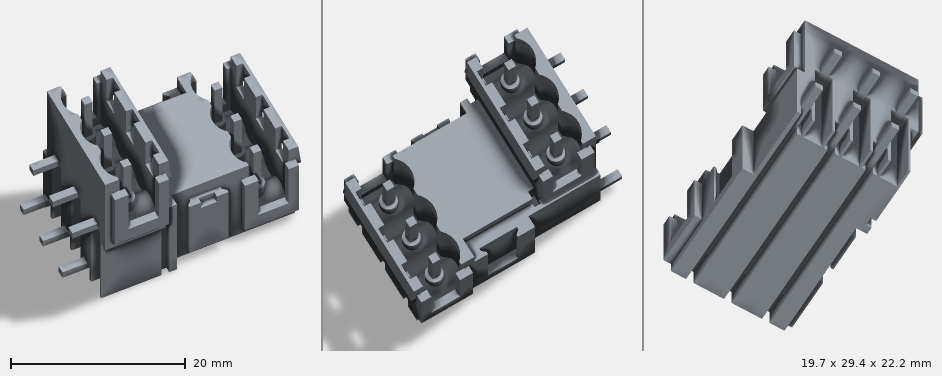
import cadquery as cq
import math

PITCH = 5.08
PIN_OFFSETS = [-PITCH, 0, PITCH]
LOW_HEADER = (0, 17.78, 0)
HIGH_HEADER = (PITCH / 2, 0, 2 * PITCH)

HEADER_WIDTH = 15.2
HEADER_DEPTH = 7.67
HEADER_HEIGHT = 12.0
FRONT_WALL = 1.75
CAVITY_BACK = 6.85
SCALLOP_FRONT = 0.84
SCALLOP_RADIUS = 2.83

LIP_BOTTOM = 8.88
LIP_TIP = 8.43
LIP_TOP = 8.07

WINDOW_WIDTH = 2.0
WINDOW_SILL = 8.02

EAR_THICKNESS = 1.0
EAR_FRONT = 0.77
EAR_BOTTOM = 1.65
EAR_TOP = 9.9
CHANNEL_FRONT = 2.52
CHANNEL_BACK = 6.35
FLOOR = 3.58

CREST_RADIUS = 1.55
VALLEY_RADIUS = 1.35
FLANK_ANGLE = math.radians(55)

COLLAR_DIAMETER = 2.15
COLLAR_TOP = 4.94

PIN_SIZE = 1.0
PIN_Y = 3.84
PIN_TOP = 11.05
TAIL_Z = 2.03
TAIL_END = -3.2

BASE_TOP = 10.04
FRONT_LEFT = -6.1
FRONT_RIGHT = FRONT_LEFT + HEADER_WIDTH
FRONT_BACK = 9.65
BACK_LEFT = -HEADER_WIDTH / 2
BACK_RIGHT = HEADER_WIDTH / 2
DECK_LEFT = HIGH_HEADER[0] - HEADER_WIDTH / 2
HIGH_RIGHT = HIGH_HEADER[0] + HEADER_WIDTH / 2

RELIEF_LEFT = -5.54
RELIEF_RIGHT = DECK_LEFT + 1.0
RELIEF_BACK = 8.48
RELIEF_BOTTOM = 9.1
NOTCH_LEFT = 8.36
NOTCH_BACK = 8.68

DOVETAIL_Y = 13.95
DOVETAIL_BOTTOM = EAR_BOTTOM
DOVETAIL_NECK = 2.0
DOVETAIL_HEAD = 2.5
DOVETAIL_NECK_LENGTH = 0.3
DOVETAIL_HEAD_START = 0.75
DOVETAIL_LENGTH = 1.08
TAB_POCKET_WIDTH = 2.0
TAB_POCKET_START = 0.38
TAB_POCKET_DEPTH = 1.0

TALL_RECESS_WIDTH = 2.36
TALL_RECESS_DEPTH = 2.5
TALL_RECESS_TOP = 11.95
TAIL_RECESS_WIDTH = 2.0
TAIL_RECESS_DEPTH = 2.5


def block(x_range, y_range, z_range):
    """Box between the given limits."""
    (x0, x1), (y0, y1), (z0, z1) = x_range, y_range, z_range
    return cq.Workplane("XY").box(x1 - x0, y1 - y0, z1 - z0, centered=False).translate((x0, y0, z0))


def around(middle, width):
    """Limits of a width centred on a middle value."""
    return (middle - width / 2, middle + width / 2)


def header_shell():
    """Header block with its lip along the top of the rear face."""
    side = (
        cq.Workplane("YZ")
        .polyline([
            (0, 0),
            (0, HEADER_HEIGHT),
            (LIP_TOP, HEADER_HEIGHT),
            (LIP_TIP, LIP_BOTTOM),
            (HEADER_DEPTH, LIP_BOTTOM),
            (HEADER_DEPTH, 0),
        ])
        .close()
    )
    return side.extrude(HEADER_WIDTH / 2, both=True)


def space_above_wavy_floor():
    """Volume over the wavy floor, as deep as the header."""
    sine = math.sin(FLANK_ANGLE)
    cosine = math.cos(FLANK_ANGLE)
    crest_half = CREST_RADIUS * sine
    valley_half = VALLEY_RADIUS * sine
    crest_edge = FLOOR - CREST_RADIUS * (1 - cosine)
    flank_width = PITCH / 2 - crest_half - valley_half
    valley_edge = crest_edge - flank_width * math.tan(FLANK_ANGLE)
    valley_bottom = valley_edge - VALLEY_RADIUS * (1 - cosine)
    valley_reach = PITCH / 2 - valley_half

    start = PIN_OFFSETS[0] - valley_reach
    profile = cq.Workplane("XZ").moveTo(start, valley_edge)
    for x in PIN_OFFSETS:
        profile = profile.lineTo(x - crest_half, crest_edge)
        profile = profile.threePointArc((x, FLOOR), (x + crest_half, crest_edge))
        profile = profile.lineTo(x + valley_reach, valley_edge)
        profile = profile.threePointArc(
            (x + PITCH / 2, valley_bottom), (x + PITCH - valley_reach, valley_edge)
        )
    end = PIN_OFFSETS[-1] + PITCH - valley_reach
    profile = profile.lineTo(end, HEADER_HEIGHT)
    profile = profile.lineTo(start - 2 * valley_half, HEADER_HEIGHT)
    profile = profile.lineTo(start - 2 * valley_half, valley_edge)
    profile = profile.threePointArc((start - valley_half, valley_bottom), (start, valley_edge))
    return profile.close().extrude(-HEADER_DEPTH)


def header_cavity():
    """Plug cavity with a scalloped front wall and a wavy floor."""
    width = around(0, HEADER_WIDTH)
    plan = block(width, (FRONT_WALL, CAVITY_BACK), (0, HEADER_HEIGHT))
    for x in PIN_OFFSETS:
        scallop = (
            cq.Workplane("XY")
            .center(x, SCALLOP_FRONT + SCALLOP_RADIUS)
            .circle(SCALLOP_RADIUS)
            .extrude(HEADER_HEIGHT)
        )
        plan = plan.union(scallop)
    return plan.intersect(space_above_wavy_floor())


def header_ear(side):
    """U-shaped ear on one end of the header; side is -1 (left) or +1 (right)."""
    middle = side * (HEADER_WIDTH + EAR_THICKNESS) / 2
    thickness = around(middle, EAR_THICKNESS)
    ear = block(thickness, (EAR_FRONT, HEADER_DEPTH), (EAR_BOTTOM, EAR_TOP))
    channel = block(thickness, (CHANNEL_FRONT, CHANNEL_BACK), (FLOOR, EAR_TOP))
    return ear.cut(channel)


def make_header():
    header = header_shell().cut(header_cavity())
    for side in (-1, 1):
        header = header.union(header_ear(side))
    for x in PIN_OFFSETS:
        header = header.cut(
            block(around(x, WINDOW_WIDTH), (CAVITY_BACK, HEADER_DEPTH), (WINDOW_SILL, HEADER_HEIGHT))
        )
        collar = (
            cq.Workplane("XY")
            .center(x, PIN_Y)
            .circle(COLLAR_DIAMETER / 2)
            .extrude(COLLAR_TOP - TAIL_Z)
            .translate((0, 0, TAIL_Z))
        )
        header = header.union(collar)
    return header


def dovetail(base_x):
    """Dovetail prism growing from base_x toward +X, up to the top of the base."""
    half = [
        (0, DOVETAIL_NECK),
        (DOVETAIL_NECK_LENGTH, DOVETAIL_NECK),
        (DOVETAIL_HEAD_START, DOVETAIL_HEAD),
        (DOVETAIL_LENGTH, DOVETAIL_HEAD),
    ]
    outline = half + [(x, -y) for x, y in reversed(half)]
    return (
        cq.Workplane("XY")
        .polyline(outline)
        .close()
        .extrude(BASE_TOP - DOVETAIL_BOTTOM)
        .translate((base_x, DOVETAIL_Y, DOVETAIL_BOTTOM))
    )


def make_base():
    """Stepped block that carries both headers."""
    low_front = LOW_HEADER[1]
    base = block((FRONT_LEFT, FRONT_RIGHT), (0, FRONT_BACK), (0, BASE_TOP))
    base = base.union(block((BACK_LEFT, BACK_RIGHT), (FRONT_BACK, low_front), (0, BASE_TOP)))

    deck_height = (BASE_TOP, HEADER_HEIGHT)
    base = base.union(block((DECK_LEFT, BACK_RIGHT), (FRONT_BACK, low_front), deck_height))
    base = base.union(block((DECK_LEFT, FRONT_RIGHT), (HEADER_DEPTH, FRONT_BACK), deck_height))
    base = base.union(block((DECK_LEFT, HIGH_RIGHT), (0, HEADER_DEPTH), deck_height))

    relief_height = (RELIEF_BOTTOM, HEADER_HEIGHT)
    base = base.cut(block((RELIEF_LEFT, RELIEF_RIGHT), (HEADER_DEPTH, RELIEF_BACK), relief_height))
    base = base.cut(block((NOTCH_LEFT, FRONT_RIGHT), (HEADER_DEPTH, NOTCH_BACK), (0, HEADER_HEIGHT)))

    base = base.cut(dovetail(BACK_LEFT))
    tab_pocket = block(
        (BACK_RIGHT + TAB_POCKET_START, BACK_RIGHT + DOVETAIL_LENGTH),
        around(DOVETAIL_Y, TAB_POCKET_WIDTH),
        (BASE_TOP - TAB_POCKET_DEPTH, BASE_TOP),
    )
    return base.union(dovetail(BACK_RIGHT).cut(tab_pocket))


def cut_front_recesses(housing):
    """Tall recesses below the high tails and short ones around the low tails."""
    tail_top = TAIL_Z + PIN_SIZE / 2
    for index, offset in enumerate(PIN_OFFSETS):
        high_x = HIGH_HEADER[0] + offset
        housing = housing.cut(
            block(around(high_x, TALL_RECESS_WIDTH), (0, TALL_RECESS_DEPTH), (0, TALL_RECESS_TOP))
        )
        low_x = LOW_HEADER[0] + offset
        left, right = around(low_x, TAIL_RECESS_WIDTH)
        if index == 0:
            left = low_x - PIN_SIZE / 2
        housing = housing.cut(block((left, right), (0, TAIL_RECESS_DEPTH), (0, tail_top)))
    return housing


def cut_tail_slots(housing):
    """Slots along the whole underside that take the tails of the low pins."""
    back = LOW_HEADER[1] + HEADER_DEPTH
    for offset in PIN_OFFSETS:
        slot_width = around(LOW_HEADER[0] + offset, PIN_SIZE)
        housing = housing.cut(block(slot_width, (0, back), (0, TAIL_Z + PIN_SIZE / 2)))
    return housing


def make_pin(header_place, offset):
    """Square L-shaped pin: upright post and a tail out of the front face."""
    middle_x, front_y, base_z = header_place
    width = around(middle_x + offset, PIN_SIZE)
    post_y = around(front_y + PIN_Y, PIN_SIZE)
    tail_z = around(base_z + TAIL_Z, PIN_SIZE)
    post = block(width, post_y, (tail_z[0], base_z + PIN_TOP))
    tail = block(width, (TAIL_END, post_y[1]), tail_z)
    return post.union(tail)


pins = [
    make_pin(place, offset)
    for place in (LOW_HEADER, HIGH_HEADER)
    for offset in PIN_OFFSETS
]

housing = make_base()
for place in (LOW_HEADER, HIGH_HEADER):
    housing = housing.union(make_header().translate(place))
housing = cut_front_recesses(housing)
housing = cut_tail_slots(housing)
for pin in pins:
    housing = housing.cut(pin)

result = cq.Compound.makeCompound([housing.val(), *[pin.val() for pin in pins]])